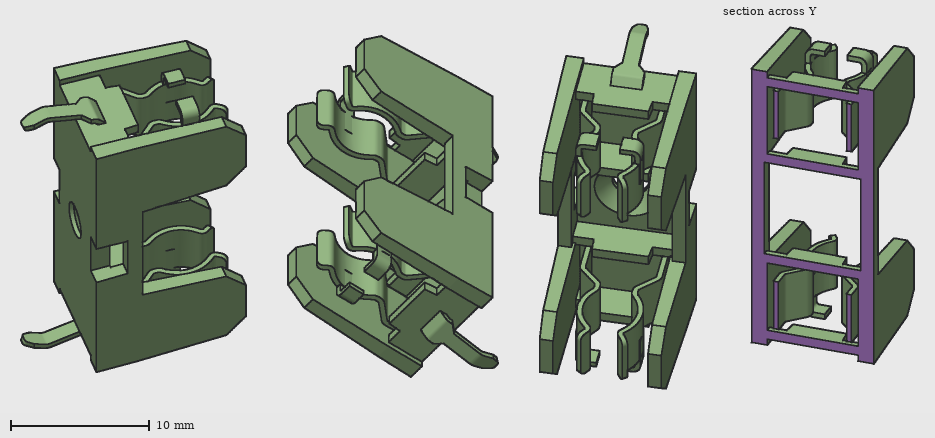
import cadquery as cq
import math


total_length = 24.1
base_half_width = 4.8
tip_half_width = 4.48
wall_height = 11.52
wall_half_length = 11.18
wall_inner = 3.5
draft_start = 3.05
shoulder_height = 10.0
saddle_height = 3.57
saddle_half_length = 4.35
shoulder_outer = 10.95
shoulder_inner = 4.77
lobe_tip_outer = 9.5
lobe_tip_inner = 6.25

floor_thickness = 1.45
plate_height = 3.05
plate_tab_height = 4.1
plate_tab_half_root = 2.17
plate_tab_half_top = 2.07
plate_thickness = 0.77
end_plate_outer = 10.7
inner_plate_face = 3.7
end_plate_inner = end_plate_outer - plate_thickness
inner_plate_back = inner_plate_face + plate_thickness

middle_inner = 3.7
floor_half_width = 3.55
hole_radius = 1.35
hole_land = 0.35
notch_height = 2.4
notch_half_root = 1.75
notch_half_top = 1.69

sheet = 0.4
clip_near = 5.83
clip_far = 9.74
tip_rounding = 0.48
arm_path = [
    (2.82, floor_thickness),
    (2.82, 3.95),
    (1.4, 5.37),
    (1.4, 5.93),
    (2.95, 8.1),
    (1.13, 10.17),
    (1.7, 11.01),
]
arm_radii = [0.48, 0.48, 0.48, 2.72, 0.31]
stop_centre = 8.05
stop_width = 1.3
stop_outer = 2.39
stop_tip = 0.87
stop_level = 10.95
stop_bend_radius = 0.43
pin_rise = math.radians(12)
pin_fall = math.radians(21)
pin_exit_height = 1.25
pin_bend_height = -2.3
pin_end_height = -4.0
pin_bend_radius = 0.72
pin_exit_radius = 0.22
pin_root_depth = 0.77
pin_half_width = 0.6
pin_root_half_width = 1.15
pin_shoulder_start = 0.85
pin_shoulder_end = 0.27
pin_taper_start = -3.33
pin_tip_half_width = 0.27
pin_tip_rounding = 0.3


def box(x_range, y_range, z_range):
    low, high = zip(x_range, y_range, z_range)
    size = [b - a for a, b in zip(low, high)]
    return cq.Workplane("XY").box(*size, centered=False).translate(low)


def extrude_x(points, half):
    return cq.Workplane("YZ").polyline(points).close().extrude(half, both=True)


def extrude_z(points, z_low, z_high):
    return cq.Workplane("XY").workplane(offset=z_low).polyline(points).close().extrude(z_high - z_low)


def both_sides(right_half):
    """Right-hand outline points followed by their mirror images across the centre line."""
    return right_half + [(-x, y) for x, y in reversed(right_half)]


def with_mirror(solid, plane):
    return solid.union(solid.mirror(plane))


def bent_strip(plane, points, radii, width):
    """Sheet-metal strip following a planar path whose inner corners are rounded."""
    path = cq.Workplane(plane).moveTo(*points[0])
    vectors = [cq.Vector(*p) for p in points]
    for before, corner, after, radius in zip(vectors, vectors[1:], vectors[2:], radii):
        to_before = (before - corner).normalized()
        to_after = (after - corner).normalized()
        half_angle = to_before.getAngle(to_after) / 2
        tangent_length = radius / math.tan(half_angle)
        middle_distance = radius / math.sin(half_angle) - radius
        start = corner + to_before * tangent_length
        middle = corner + (to_before + to_after).normalized() * middle_distance
        end = corner + to_after * tangent_length
        path = path.lineTo(start.x, start.y).threePointArc((middle.x, middle.y), (end.x, end.y))
    path = path.lineTo(*points[-1])
    frame = cq.Plane.named(plane)
    first_direction = frame.toWorldCoords(points[1]) - frame.toWorldCoords(points[0])
    section_plane = cq.Plane(frame.toWorldCoords(points[0]), xDir=frame.zDir, normal=first_direction)
    return cq.Workplane(section_plane).rect(width, sheet).sweep(path)


def make_shell():
    """Drafted block with two lobes per side wall, before it is hollowed out."""
    upper_edge = [
        (0, wall_half_length),
        (draft_start, wall_half_length),
        (shoulder_height, shoulder_outer),
        (wall_height, lobe_tip_outer),
        (wall_height, lobe_tip_inner),
        (shoulder_height, shoulder_inner),
        (saddle_height, saddle_half_length),
    ]
    side_outline = upper_edge + [(y, -z) for y, z in reversed(upper_edge)]
    width_outline = both_sides([(base_half_width, 0), (tip_half_width, wall_height)])
    shell = extrude_x(side_outline, base_half_width)
    return shell.intersect(extrude_z(width_outline, -wall_half_length, wall_half_length))


def make_cross_plate(z_low, z_high):
    outline = both_sides([
        (middle_inner, 0),
        (middle_inner, plate_height),
        (plate_tab_half_root, plate_height),
        (plate_tab_half_top, plate_tab_height),
    ])
    return extrude_z(outline, z_low, z_high)


def cut_notch(body):
    outline = [
        (0, notch_half_root),
        (notch_height, notch_half_top),
        (notch_height, -notch_half_top),
        (0, -notch_half_root),
    ]
    full_width = extrude_x(outline, base_half_width)
    notch_z = (-notch_half_root, notch_half_root)
    kept_core = box((-floor_half_width, floor_half_width), (0, notch_height), notch_z)
    return body.cut(full_width.cut(kept_core))


def make_mounting_hole():
    """Hole through the floor, countersunk at 45 degrees from the inside."""
    countersink_radius = hole_radius + floor_thickness - hole_land
    half_section = [
        (0, 0),
        (hole_radius, 0),
        (hole_radius, hole_land),
        (countersink_radius, floor_thickness),
        (0, floor_thickness),
    ]
    return cq.Workplane("XY").polyline(half_section).close().revolve(360, (0, 0), (0, 1))


def make_housing():
    body = make_shell()
    channel_x = (-wall_inner, wall_inner)
    body = body.cut(box(channel_x, (0, wall_height), (-wall_half_length, wall_half_length)))
    body = body.union(box(channel_x, (0, floor_thickness), (-end_plate_outer, end_plate_outer)))
    middle_z = (-saddle_half_length, saddle_half_length)
    body = body.cut(box((-middle_inner, middle_inner), (floor_thickness, wall_height), middle_z))
    plates = make_cross_plate(end_plate_inner, end_plate_outer)
    plates = plates.union(make_cross_plate(inner_plate_face, inner_plate_back))
    body = body.union(with_mirror(plates, "XY"))
    body = cut_notch(body)
    return body.cut(make_mounting_hole())


def make_arm():
    """Wavy spring arm with rounded tip corners and an end-stop tongue bent over at the far edge."""
    clip_centre = (clip_near + clip_far) / 2
    arm = bent_strip("XY", arm_path, arm_radii, clip_far - clip_near)
    arm = arm.translate((0, 0, clip_centre))
    arm = arm.faces(">Y").edges("not |Z").fillet(tip_rounding)
    stop_x = stop_outer - sheet / 2
    stop_z = stop_level - sheet / 2
    stop_path = [(stop_x, clip_centre), (stop_x, stop_z), (stop_tip, stop_z)]
    stop = bent_strip("XZ", stop_path, [stop_bend_radius], stop_width)
    return arm.union(stop.translate((0, stop_centre, 0)))


def make_pin():
    """Pin that leaves the end plate at 45 degrees, then rises to its crest and bends back."""
    bend_gain = math.cos((pin_fall - pin_rise) / 2) / math.cos((pin_fall + pin_rise) / 2) - 1
    bend_z = total_length / 2 - sheet / 2 + pin_bend_radius * bend_gain
    exit_z = bend_z - (pin_exit_height - pin_bend_height) * math.tan(pin_rise)
    end_z = bend_z - (pin_bend_height - pin_end_height) * math.tan(pin_fall)
    path = [
        (pin_exit_height + pin_root_depth, exit_z - pin_root_depth),
        (pin_exit_height, exit_z),
        (pin_bend_height, bend_z),
        (pin_end_height, end_z),
    ]
    blank = bent_strip("YZ", path, [pin_exit_radius, pin_bend_radius], 2 * pin_root_half_width)
    outline = both_sides([
        (pin_root_half_width, plate_height),
        (pin_root_half_width, pin_shoulder_start),
        (pin_half_width, pin_shoulder_end),
        (pin_half_width, pin_taper_start),
        (pin_tip_half_width, pin_end_height - sheet / 2),
    ])
    pin = blank.intersect(extrude_z(outline, 0, total_length / 2))
    return pin.faces("<Y").edges("not |X").fillet(pin_tip_rounding)


clip = with_mirror(make_arm(), "YZ").union(make_pin())
result = make_housing().union(with_mirror(clip, "XY"))